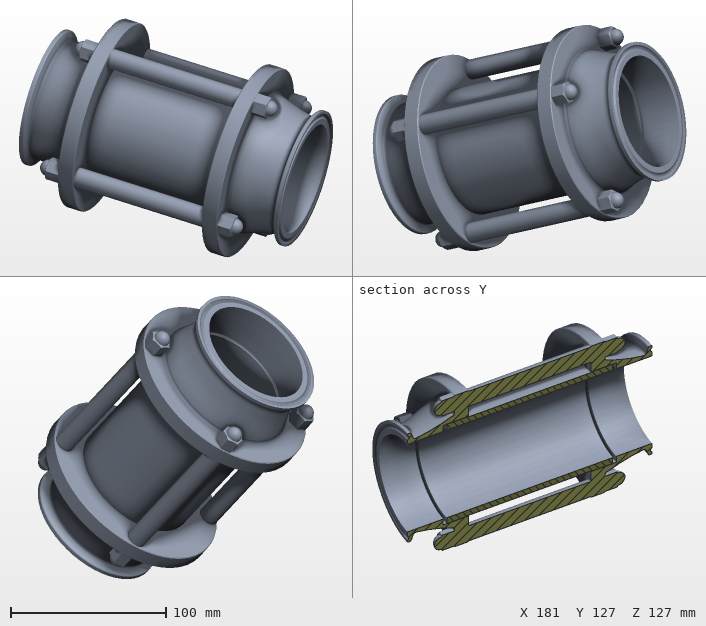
import cadquery as cq
import math

length = 181.0
half_length = length / 2
bore_radius = 36.5

rim_radius = 45.6
rim_width = 2.7
rim_fillet = 0.9
taper_angle = 20.0
neck_radius = 39.6
neck_fillet = 1.6
neck_end = 6.7

groove_radius = 42.0
groove_half_width = 1.5
groove_depth = 1.0
groove_edge_fillet = 0.5

flange_radius = 63.5
flange_start = 34.8
flange_width = 10.7
flange_end = flange_start + flange_width
flange_chamfer = 0.5
root_fillet = 2.0

flare_end = flange_start - root_fillet
flare_middle = (neck_end + flare_end) / 2
flare_middle_radius = 42.4
flare_end_radius = 46.9

tube_radius = 41.5
socket_floor = 26.6
tube_gap = 2.4
tube_length = length - 2 * (socket_floor + tube_gap)

rod_count = 4
rod_radius = 6.5
rod_length = length - 2 * flange_end
rod_circle_radius = 56.3
nut_across_flats = 13.0
nut_corner_radius = nut_across_flats / 2 / math.cos(math.pi / 6)
nut_start = 25.3
nut_height = flange_start - nut_start
nut_chamfer_height = 0.7
nut_chamfer_width = 1.3
dome_radius = 5.5


def make_fitting_blank():
    """Revolve the fitting profile, with its end face at X = 0."""
    taper = math.radians(taper_angle)
    along_taper = (math.sin(taper), -math.cos(taper))
    taper_end = rim_width + (rim_radius - neck_radius) * math.tan(taper)
    setback_factor = math.tan((math.pi / 2 - taper) / 2)
    rim_setback = rim_fillet * setback_factor
    neck_setback = neck_fillet * setback_factor
    return (
        cq.Workplane("XY")
        .moveTo(0, bore_radius)
        .lineTo(0, rim_radius)
        .lineTo(rim_width - rim_setback, rim_radius)
        .tangentArcPoint(
            (rim_width + rim_setback * along_taper[0], rim_radius + rim_setback * along_taper[1]),
            relative=False,
        )
        .lineTo(taper_end - neck_setback * along_taper[0], neck_radius - neck_setback * along_taper[1])
        .tangentArcPoint((taper_end + neck_setback, neck_radius), relative=False)
        .lineTo(neck_end, neck_radius)
        .threePointArc((flare_middle, flare_middle_radius), (flare_end, flare_end_radius))
        .radiusArc((flange_start, flare_end_radius + root_fillet), -root_fillet)
        .lineTo(flange_start, flange_radius - flange_chamfer)
        .lineTo(flange_start + flange_chamfer, flange_radius)
        .lineTo(flange_end - flange_chamfer, flange_radius)
        .lineTo(flange_end, flange_radius - flange_chamfer)
        .lineTo(flange_end, tube_radius)
        .lineTo(socket_floor, tube_radius)
        .lineTo(socket_floor, bore_radius)
        .close()
        .revolve(360, (0, 0, 0), (1, 0, 0))
    )


def make_groove_cutter():
    """Ring with a circular-segment section, sunk into the end face at X = 0."""
    return (
        cq.Workplane("XY")
        .moveTo(0, groove_radius - groove_half_width)
        .threePointArc((groove_depth, groove_radius), (0, groove_radius + groove_half_width))
        .close()
        .revolve(360, (0, 0, 0), (1, 0, 0))
    )


def make_fitting():
    """Left fitting with its grooved end face and rounded groove edges."""
    grooved = make_fitting_blank().cut(make_groove_cutter())
    groove_edges = [
        edge
        for edge in grooved.faces("<X").edges("%CIRCLE").vals()
        if math.isclose(abs(edge.radius() - groove_radius), groove_half_width, abs_tol=0.02)
    ]
    return grooved.newObject(groove_edges).fillet(groove_edge_fillet).translate((-half_length, 0, 0))


def make_cap_nut():
    """Left cap nut on the X axis: hexagon with chamfered corners and a domed end."""
    outer_face = cq.Workplane("YZ", origin=(nut_start - half_length, 0, 0))
    hexagon = outer_face.polygon(6, 2 * nut_corner_radius).extrude(nut_height)
    corner_turning = (
        outer_face.circle(nut_corner_radius)
        .extrude(nut_height)
        .faces("<X")
        .chamfer(nut_chamfer_height, nut_chamfer_width)
    )
    dome = outer_face.sphere(dome_radius)
    return hexagon.intersect(corner_turning).union(dome)


def make_rod():
    """Tie rod on the X axis, spanning the space between the flanges."""
    return cq.Workplane("YZ", origin=(-rod_length / 2, 0, 0)).circle(rod_radius).extrude(rod_length)


def make_frame():
    """Both fittings joined by the tie rods and their cap nuts."""
    fitting = make_fitting()
    body = fitting.union(fitting.mirror("YZ"))
    nut = make_cap_nut()
    for index in range(rod_count):
        angle = index * 360 / rod_count
        for piece in (make_rod(), nut, nut.mirror("YZ")):
            placed = piece.translate((0, 0, rod_circle_radius)).rotate((0, 0, 0), (1, 0, 0), angle)
            body = body.union(placed)
    return body


def make_tube():
    """Tube whose bore lines up with the bores of the fittings."""
    return (
        cq.Workplane("YZ", origin=(-tube_length / 2, 0, 0))
        .circle(tube_radius)
        .circle(bore_radius)
        .extrude(tube_length)
    )


frame = make_frame()
tube = make_tube()

result = cq.Compound.makeCompound([frame.solids().val(), tube.solids().val()])